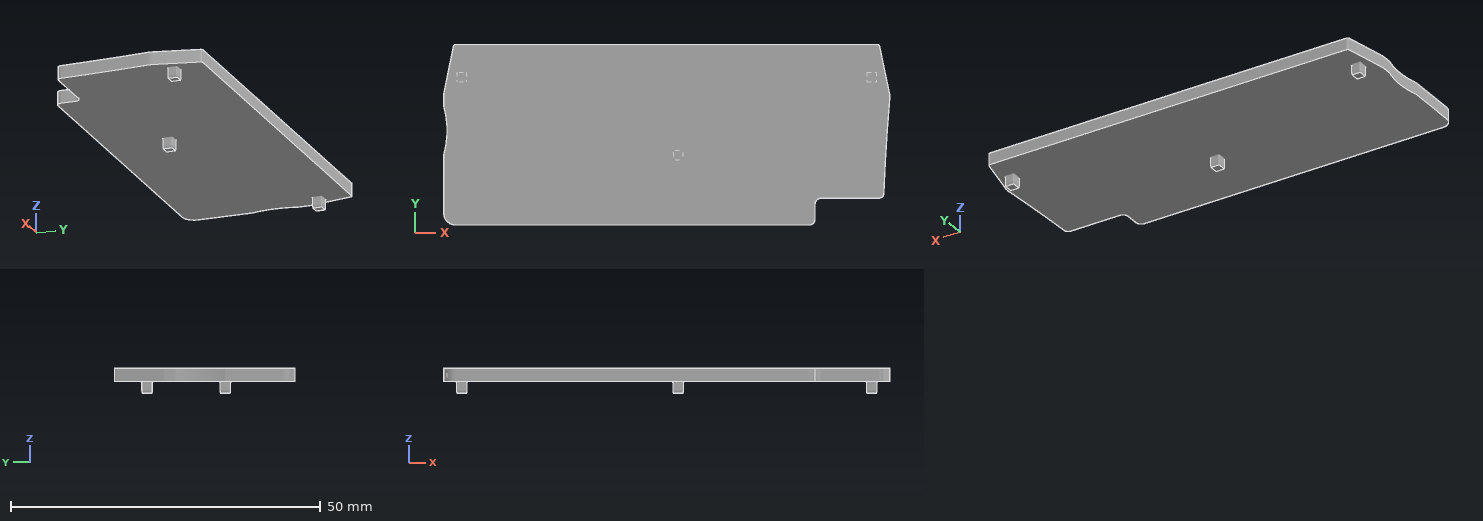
import cadquery as cq
import math

PLATE_LENGTH = 72.2
PLATE_WIDTH = 29.25
PLATE_THICKNESS = 2.2
TOTAL_HEIGHT = 4.1

HOLLOW_START_Y = 11.3
HOLLOW_END_Y = 19.3
HOLLOW_DEPTH = 0.55
LEFT_TAPER_START_Y = 21.2
LEFT_TAPER_INSET = 1.65

WIDEST_Y = 20.75
WIDEST_RADIUS = 3.0
RIGHT_TAPER_ANGLE = math.atan(0.21)
RIGHT_CURVE_ANGLE = math.atan(0.09)
RIGHT_CURVE_SAG = 0.1
RIGHT_FOOT_INSET = 1.0

NOTCH_X = 60.1
NOTCH_HEIGHT = 4.35

LOWER_LEFT_RADIUS = 2.0
NOTCH_RADIUS = 1.0
RIGHT_FOOT_RADIUS = 0.8
TOP_RADIUS = 0.4

PEG_SIDE = 1.75
PEG_CORNER_RADIUS = 0.2
PEG_ROOT_RADIUS = 0.15
PEG_CHAMFER_HEIGHT = 0.4
PEG_CHAMFER_WIDTH = 0.1
PEG_HEIGHT = TOTAL_HEIGHT - PLATE_THICKNESS
PEG_UPPER_Y = 23.95
PEG_LOWER_Y = 11.3
PEG_POSITIONS = [
    (2.95, PEG_UPPER_Y),
    (37.95, PEG_LOWER_Y),
    (69.25, PEG_UPPER_Y),
]


def round_corner(plate, corner, radius):
    """Round the vertical plate edge nearest to the (x, y) corner."""
    nearest_edge = cq.selectors.NearestToPointSelector((*corner, PLATE_THICKNESS / 2))
    return plate.edges("|Z").edges(nearest_edge).fillet(radius)


def widest_round_point(angle):
    """Point on the rounding at the widest place, at an angle above the X direction."""
    return (
        PLATE_LENGTH - WIDEST_RADIUS * (1 - math.cos(angle)),
        WIDEST_Y + WIDEST_RADIUS * math.sin(angle),
    )


def make_plate():
    """Flat cover plate with its underside at Z = 0 and rounded corners."""
    lower_left = (0, 0)
    top_left = (LEFT_TAPER_INSET, PLATE_WIDTH)
    taper_start = widest_round_point(RIGHT_TAPER_ANGLE)
    taper_inset = (PLATE_WIDTH - taper_start[1]) * math.tan(RIGHT_TAPER_ANGLE)
    top_right = (taper_start[0] - taper_inset, PLATE_WIDTH)
    notch_outer = (PLATE_LENGTH - RIGHT_FOOT_INSET, NOTCH_HEIGHT)
    notch_inner = (NOTCH_X, NOTCH_HEIGHT)
    notch_foot = (NOTCH_X, 0)
    curve_end = widest_round_point(-RIGHT_CURVE_ANGLE)
    curve_middle = (
        (notch_outer[0] + curve_end[0]) / 2 - RIGHT_CURVE_SAG,
        (notch_outer[1] + curve_end[1]) / 2,
    )
    hollow_middle = (HOLLOW_DEPTH, (HOLLOW_START_Y + HOLLOW_END_Y) / 2)

    plate = (
        cq.Workplane("XY")
        .moveTo(*lower_left)
        .lineTo(*notch_foot)
        .lineTo(*notch_inner)
        .lineTo(*notch_outer)
        .threePointArc(curve_middle, curve_end)
        .threePointArc(widest_round_point(0), taper_start)
        .lineTo(*top_right)
        .lineTo(*top_left)
        .lineTo(0, LEFT_TAPER_START_Y)
        .lineTo(0, HOLLOW_END_Y)
        .threePointArc(hollow_middle, (0, HOLLOW_START_Y))
        .close()
        .extrude(PLATE_THICKNESS)
    )
    plate = round_corner(plate, lower_left, LOWER_LEFT_RADIUS)
    for corner in (notch_foot, notch_inner):
        plate = round_corner(plate, corner, NOTCH_RADIUS)
    plate = round_corner(plate, notch_outer, RIGHT_FOOT_RADIUS)
    for corner in (top_left, top_right):
        plate = round_corner(plate, corner, TOP_RADIUS)
    return plate


def make_pegs():
    """Square pegs hanging below the plate, each with a tapered tip."""
    return (
        cq.Workplane("XY")
        .pushPoints(PEG_POSITIONS)
        .rect(PEG_SIDE, PEG_SIDE)
        .extrude(-PEG_HEIGHT)
        .edges("|Z")
        .fillet(PEG_CORNER_RADIUS)
        .faces("<Z")
        .edges()
        .chamfer(PEG_CHAMFER_HEIGHT, PEG_CHAMFER_WIDTH)
    )


def round_peg_roots(part):
    """Fillet the corner where each peg meets the underside of the plate."""
    reach = PEG_SIDE / 2 + PEG_ROOT_RADIUS
    for x, y in PEG_POSITIONS:
        root_box = cq.selectors.BoxSelector(
            (x - reach, y - reach, -PEG_ROOT_RADIUS),
            (x + reach, y + reach, PEG_ROOT_RADIUS),
        )
        part = part.edges(root_box).fillet(PEG_ROOT_RADIUS)
    return part


result = round_peg_roots(make_plate().union(make_pegs()))